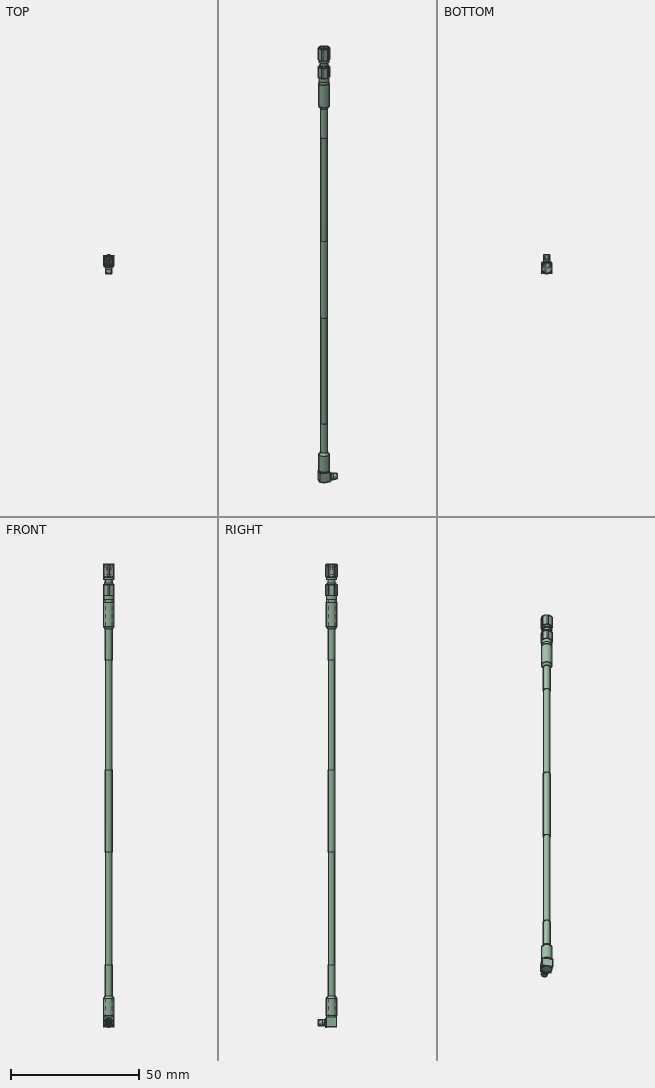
import cadquery as cq
import math


cable_radius = 1.275
sleeve_wall = 0.125
sleeve_radius = cable_radius + sleeve_wall
ferrule_radius = 2.0
boot_radius = ferrule_radius + sleeve_wall
boot_taper = 1.1
boot_tail = 12.0
label_bottom = 66.4
label_length = 32.0

block_width = 4.0
block_bottom = -1.4
block_top = 2.3
cap_radius = ferrule_radius
cap_height = 0.2
flange_radius = 1.8
flange_length = 0.45
collar_gap = 0.3
collar_radius = 1.35
collar_length = 0.8
plug_radius = 1.2
plug_chamfer = 0.2
plug_bore_radius = 0.8
plug_bore_depth = 2.0
plug_reach = 5.27

overall_height = 180.3
hex_flats = 4.25
hex_corners = hex_flats / math.cos(math.pi / 6)
hex_round_radius = 2.31
hex_chamfer_radius = 1.95
shoulder_radius = 2.0
neck_radius = 1.4
collar_ring_radius = 1.7
straight_top = overall_height - flange_radius
shoulder_bottom = 164.7
rear_hex_bottom = 166.3
rear_hex_top = 170.7
collar_ring_top = 171.2
neck_top = 172.5
front_hex_bottom = 173.4
socket_radius = 1.5
socket_depth = 4.0
socket_mouth_depth = 1.0
socket_inner_radius = 0.9
contact_radius = 0.4

lower_boot_end = 2.8
lower_boot_shoulder = 9.4
upper_boot_end = 163.6
upper_boot_shoulder = 154.3


def turned(profile):
    """Solid of revolution about Z from (radius, z) points."""
    points = [(-radius, z) for radius, z in profile]
    return cq.Workplane("YZ").polyline(points).close().revolve(360, (0, 0), (0, 1))


def rod(radius, bottom, top):
    """Cylinder on the Z axis."""
    return turned([(0, bottom), (radius, bottom), (radius, top), (0, top)])


def hex_prism(bottom, top):
    """Hexagon on the Z axis with flats facing +X and -X, corners turned round and the top chamfered."""
    prism = (
        cq.Workplane("XY")
        .workplane(offset=bottom)
        .transformed(rotate=(0, 0, 90))
        .polygon(6, hex_corners)
        .extrude(top - bottom)
    )
    drop = hex_round_radius - hex_chamfer_radius
    envelope = turned(
        [
            (0, bottom),
            (hex_round_radius, bottom),
            (hex_round_radius, top - drop),
            (hex_chamfer_radius, top),
            (0, top),
        ]
    )
    return prism.intersect(envelope)


def plug_rod(radius, start, end):
    """Cylinder on the plug axis between two distances from the cable axis."""
    return cq.Workplane("XZ").workplane(offset=start).circle(radius).extrude(end - start)


def make_cable():
    return rod(cable_radius, block_top, shoulder_bottom)


def make_label():
    label_top = label_bottom + label_length
    return rod(sleeve_radius, label_bottom, label_top).cut(rod(cable_radius, label_bottom, label_top))


def make_ferrule(connector_face, boot_shoulder):
    """Crimp tube on the cable, from the connector to where the boot starts to taper."""
    bottom, top = sorted((connector_face, boot_shoulder))
    return rod(ferrule_radius, bottom, top).cut(rod(cable_radius, bottom, top))


def make_boot(end, shoulder):
    """Shrunk sleeve: wide over the ferrule, then a cone down to a narrow tail on the cable."""
    away = math.copysign(1, shoulder - end)
    taper_end = shoulder + away * boot_taper
    tail_end = taper_end + away * boot_tail
    return turned(
        [
            (ferrule_radius, end),
            (boot_radius, end),
            (boot_radius, shoulder),
            (sleeve_radius, taper_end),
            (sleeve_radius, tail_end),
            (cable_radius, tail_end),
            (cable_radius, taper_end),
            (ferrule_radius, shoulder),
        ]
    )


def make_right_angle_connector():
    block_face = block_width / 2
    flange_end = block_face + flange_length
    collar_start = flange_end + collar_gap
    block = (
        cq.Workplane("XY")
        .workplane(offset=block_bottom)
        .rect(block_width, block_width)
        .extrude(block_top - block_bottom)
    )
    cap = rod(cap_radius, block_bottom - cap_height, block_bottom)
    flange = plug_rod(flange_radius, block_face, flange_end)
    collar = plug_rod(collar_radius, collar_start, collar_start + collar_length)
    plug = plug_rod(plug_radius, block_face, plug_reach).faces("<Y").chamfer(plug_chamfer)
    bore = plug_rod(plug_bore_radius, plug_reach - plug_bore_depth, plug_reach)
    contact = plug_rod(contact_radius, plug_reach - plug_bore_depth, plug_reach)
    body = block.union(cap).union(flange).union(collar).union(plug)
    return body.cut(bore.cut(contact))


def make_straight_connector():
    front_middle = (front_hex_bottom + straight_top) / 2
    upper_half = hex_prism(front_middle, straight_top)
    lower_half = upper_half.mirror("XY", (0, 0, front_middle))
    core = turned(
        [
            (0, shoulder_bottom),
            (shoulder_radius, shoulder_bottom),
            (shoulder_radius, rear_hex_bottom),
            (collar_ring_radius, rear_hex_bottom),
            (collar_ring_radius, collar_ring_top),
            (neck_radius, collar_ring_top),
            (neck_radius, neck_top),
            (shoulder_radius, neck_top),
            (shoulder_radius, front_hex_bottom),
            (0, front_hex_bottom),
        ]
    )
    socket_floor = straight_top - socket_depth
    socket_mouth = rod(socket_radius, straight_top - socket_mouth_depth, straight_top)
    socket = rod(socket_inner_radius, socket_floor, straight_top).union(socket_mouth)
    contact = rod(contact_radius, socket_floor, straight_top)
    body = core.union(hex_prism(rear_hex_bottom, rear_hex_top)).union(lower_half).union(upper_half)
    return body.cut(socket.cut(contact))


cable = make_cable()
label = make_label()
right_angle_connector = make_right_angle_connector()
straight_connector = make_straight_connector()

cable_ends = [
    (block_top, lower_boot_end, lower_boot_shoulder),
    (shoulder_bottom, upper_boot_end, upper_boot_shoulder),
]
ferrules = []
boots = []
for connector_face, boot_end, boot_shoulder in cable_ends:
    ferrules.append(make_ferrule(connector_face, boot_shoulder).val())
    boots.append(make_boot(boot_end, boot_shoulder).val())

result = cq.Compound.makeCompound(
    [cable.val(), label.val(), right_angle_connector.val(), straight_connector.val(), *ferrules, *boots]
)